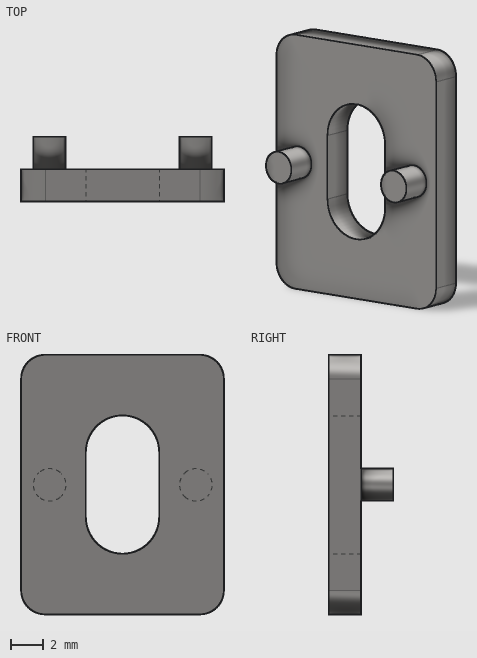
import cadquery as cq

plate_width = 12.5
plate_height = 16.0
plate_thickness = 2.0
corner_radius = 1.5

slot_width = 4.5
slot_length = 8.5
slot_angle = 90

pin_diameter = 2.0
pin_length = 2.0
pin_spacing = 9.0


def make_plate():
    """Plate with rounded corners, front face at Y = 0 and back face at +Y."""
    blank = cq.Workplane("XY").box(
        plate_width, plate_thickness, plate_height, centered=(True, False, True)
    )
    return blank.edges("|Y").fillet(corner_radius)


def make_slot():
    """Cutter for the slot, long axis along Z."""
    return cq.Workplane("XZ").slot2D(slot_length, slot_width, slot_angle).extrude(-plate_thickness)


def make_pins():
    """Pair of pins standing on the back face of the plate."""
    return (
        cq.Workplane("XZ", origin=(0, plate_thickness, 0))
        .pushPoints([(-pin_spacing / 2, 0), (pin_spacing / 2, 0)])
        .circle(pin_diameter / 2)
        .extrude(-pin_length)
    )


result = make_plate().cut(make_slot()).union(make_pins())